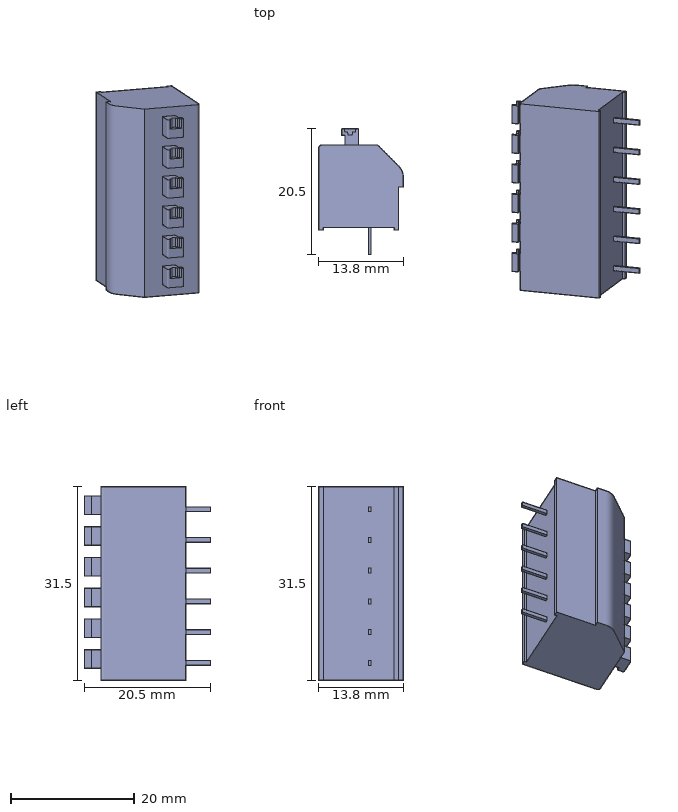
import cadquery as cq
import math

housing_length = 31.5
housing_width = 13.75
housing_height = 13.83
rear_corner_radius = 0.5
slope_start_x = 9.58
slope_angle = math.radians(45)
nose_radius = 2.52
nose_width = 0.75
nose_drop = 6.85

foot_width = 0.75
foot_height = 0.4

pole_count = 6
end_wall = 1.5
pole_pitch = (housing_length - end_wall) / pole_count

pin_length = 4.0
pin_width = 0.45
pin_thickness = 0.8
pin_center_x = 8.3
top_pin_center_z = housing_length - 3.65

lever_rise = 2.68
lever_left_x = 3.72
lever_head_width = 2.77
lever_hook = 0.55
lever_head_height = 1.1
lever_thickness = 3.05
lever_corner_radius = 0.22
top_lever_center_z = housing_length - 3.02

notch_step = 0.55
notch_depth = lever_thickness / 2
upper_mouth_half = 0.95
upper_floor_half = 0.85
lower_mouth_half = 0.45
lower_floor_half = 0.3


def pole_positions(top_center_z):
    return [top_center_z - pole * pole_pitch for pole in range(pole_count)]


def make_housing():
    wall_x = housing_width - nose_width
    nose_corner_y = housing_height - (housing_width - slope_start_x) * math.tan(slope_angle)
    setback = nose_radius * math.tan(slope_angle / 2)
    diagonal = setback * math.sin(slope_angle)
    profile = (
        cq.Workplane("XY")
        .moveTo(0, 0)
        .lineTo(0, housing_height - rear_corner_radius)
        .radiusArc((rear_corner_radius, housing_height), rear_corner_radius)
        .lineTo(slope_start_x, housing_height)
        .lineTo(housing_width - diagonal, nose_corner_y + diagonal)
        .radiusArc((housing_width, nose_corner_y - setback), nose_radius)
        .lineTo(housing_width, housing_height - nose_drop)
        .lineTo(wall_x, housing_height - nose_drop)
        .lineTo(wall_x, 0)
        .lineTo(wall_x - foot_width, 0)
        .lineTo(wall_x - foot_width, foot_height)
        .lineTo(foot_width, foot_height)
        .lineTo(foot_width, 0)
        .close()
    )
    return profile.extrude(housing_length)


def make_pin(center_z):
    height = pin_length + foot_height
    return cq.Workplane("XY").box(pin_width, height, pin_thickness).translate(
        (pin_center_x, foot_height - height / 2, center_z)
    )


def make_lever(center_z):
    tip_y = housing_height + lever_rise
    right_x = lever_left_x + lever_head_width
    stem_x = lever_left_x + lever_hook
    hook_y = tip_y - lever_head_height
    bottom_z = center_z - lever_thickness / 2
    body = (
        cq.Workplane("XY", origin=(0, 0, bottom_z))
        .moveTo(stem_x, housing_height)
        .lineTo(stem_x, hook_y)
        .lineTo(lever_left_x, hook_y)
        .lineTo(lever_left_x, tip_y)
        .lineTo(right_x, tip_y)
        .lineTo(right_x, housing_height)
        .close()
        .extrude(lever_thickness)
        .edges("|Z and >Y")
        .fillet(lever_corner_radius)
    )
    notch_right_half = [
        (upper_mouth_half, 0),
        (upper_floor_half, -notch_step),
        (lower_mouth_half, -notch_step),
        (lower_floor_half, -2 * notch_step),
    ]
    notch_left_half = [(-x, y) for x, y in reversed(notch_right_half)]
    notch_floor_z = bottom_z + lever_thickness - notch_depth
    notch = (
        cq.Workplane("XY", origin=(lever_left_x + lever_head_width / 2, tip_y, notch_floor_z))
        .polyline(notch_right_half + notch_left_half)
        .close()
        .extrude(notch_depth)
    )
    return body.cut(notch)


result = make_housing()
for z in pole_positions(top_pin_center_z):
    result = result.union(make_pin(z))
for z in pole_positions(top_lever_center_z):
    result = result.union(make_lever(z))